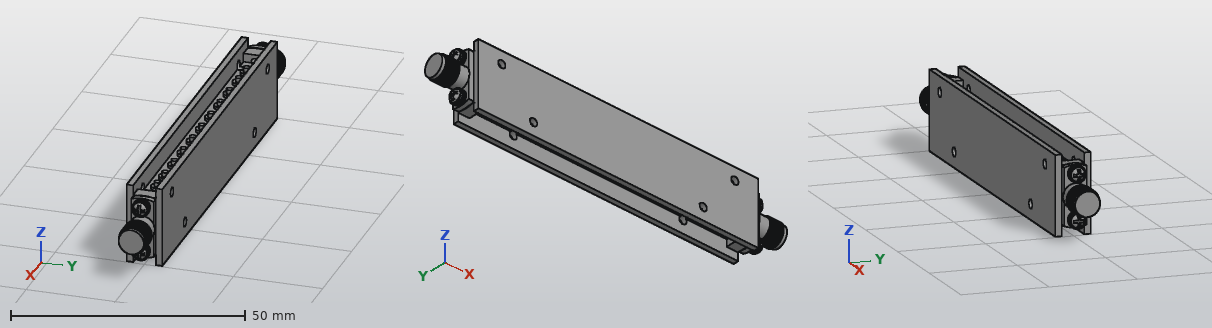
import cadquery as cq
import math

TOTAL_LENGTH = 97.8
TOTAL_WIDTH = 8.0
PLATE_HEIGHT = 18.0
PLATE_LENGTH = 79.4
PLATE_THICKNESS = 1.5
CORE_WIDTH = TOTAL_WIDTH - 2 * PLATE_THICKNESS

CORE_HEIGHT = 9.6
BLOCK_HEIGHT = 13.5
BLOCK_LENGTH = 3.2

MOUNT_HOLE_DIAMETER = 2.1
UPPER_HOLE_X = 33.1
LOWER_HOLE_X = 24.1
MOUNT_HOLE_Z = 5.5

TUNER_PITCH = 6.4
TUNERS_PER_SIDE = 4
END_TUNER_X = 30.8
TUNER_NUT_RADIUS = 1.4
TUNER_NUT_HEIGHT = 0.6
TUNER_STUD_RADIUS = 0.7
TUNER_STUD_HEIGHT = 1.6

FLANGE_RADIUS = 6.9
FLANGE_THICKNESS = 1.5

BARREL_RADIUS = 2.8
THREAD_RADIUS = 3.1
THREAD_PITCH = 0.5
THREAD_TURNS = 8
CREST_WIDTH = 0.14
THREAD_START = 1.0
BARREL_LENGTH = (TOTAL_LENGTH - PLATE_LENGTH) / 2 - FLANGE_THICKNESS

SCREW_Z = 5.1
FLAT_WASHER_RADIUS = 1.8
FLAT_WASHER_THICKNESS = 0.4
LOCK_WASHER_RADIUS = 1.9
LOCK_WASHER_THICKNESS = 0.6
HEAD_RADIUS = 1.9
HEAD_RIM_THICKNESS = 0.6
HEAD_DOME_HEIGHT = 0.9
HEAD_DOME_RADIUS = 1.6
HEAD_TOP_RADIUS = 0.7
WASHER_SEAM = 0.1
RECESS_LENGTH = 2.3
RECESS_WIDTH = 0.6
RECESS_DEPTH = 0.6
TIP_RADIUS = 0.8
TIP_END_RADIUS = 0.2
TIP_LENGTH = 0.9

PLATE_END = PLATE_LENGTH / 2
FLANGE_FACE = PLATE_END + FLANGE_THICKNESS
BLOCK_INNER_FACE = PLATE_END - BLOCK_LENGTH


def turned_on_x(profile, z=0.0):
    """Revolve a closed (x, radius) profile about the line parallel to X at height z."""
    turned = cq.Workplane("XY").polyline(profile).close().revolve(360, (0, 0, 0), (1, 0, 0))
    return turned.translate((0, 0, z))


def cover_plates():
    offset = (TOTAL_WIDTH - PLATE_THICKNESS) / 2
    plate = cq.Workplane("XY").box(PLATE_LENGTH, PLATE_THICKNESS, PLATE_HEIGHT)
    return plate.translate((0, offset, 0)).union(plate.translate((0, -offset, 0)))


def core_bar():
    core = cq.Workplane("XY").box(PLATE_LENGTH, CORE_WIDTH, CORE_HEIGHT)
    block = cq.Workplane("XY").box(BLOCK_LENGTH, CORE_WIDTH, BLOCK_HEIGHT)
    block_x = PLATE_END - BLOCK_LENGTH / 2
    for side in (-1, 1):
        core = core.union(block.translate((side * block_x, 0, 0)))
    return core


def mounting_holes():
    points = []
    for side in (-1, 1):
        points.append((side * UPPER_HOLE_X, MOUNT_HOLE_Z))
        points.append((side * LOWER_HOLE_X, -MOUNT_HOLE_Z))
    holes = cq.Workplane("XZ").pushPoints(points).circle(MOUNT_HOLE_DIAMETER / 2)
    return holes.extrude(TOTAL_WIDTH, both=True)


def tuning_screws():
    stations = [i * TUNER_PITCH for i in range(-TUNERS_PER_SIDE, TUNERS_PER_SIDE + 1)]
    points = [(x, 0) for x in [-END_TUNER_X] + stations + [END_TUNER_X]]
    top = cq.Workplane("XY", origin=(0, 0, CORE_HEIGHT / 2)).pushPoints(points)
    nuts = top.circle(TUNER_NUT_RADIUS).extrude(TUNER_NUT_HEIGHT)
    studs = top.circle(TUNER_STUD_RADIUS).extrude(TUNER_STUD_HEIGHT)
    return nuts.union(studs)


def flange():
    disc = cq.Workplane("YZ", origin=(PLATE_END, 0, 0)).circle(FLANGE_RADIUS).extrude(FLANGE_THICKNESS)
    strip = cq.Workplane("XY").box(TOTAL_LENGTH * 2, CORE_WIDTH, PLATE_HEIGHT)
    return disc.intersect(strip)


def barrel():
    tip = FLANGE_FACE + BARREL_LENGTH
    thread_end = tip - THREAD_START
    profile = [(FLANGE_FACE, 0), (tip, 0), (tip, BARREL_RADIUS), (thread_end, BARREL_RADIUS)]
    for turn in range(THREAD_TURNS):
        crest = thread_end - (turn + 0.5) * THREAD_PITCH
        profile.append((crest + CREST_WIDTH / 2, THREAD_RADIUS))
        profile.append((crest - CREST_WIDTH / 2, THREAD_RADIUS))
        profile.append((crest - THREAD_PITCH / 2, BARREL_RADIUS))
    profile.append((FLANGE_FACE, BARREL_RADIUS))
    return turned_on_x(profile)


def flange_screw(z):
    flat_top = FLANGE_FACE + FLAT_WASHER_THICKNESS
    lock_top = flat_top + LOCK_WASHER_THICKNESS
    rim_top = lock_top + HEAD_RIM_THICKNESS
    head_top = rim_top + HEAD_DOME_HEIGHT
    seam_radius = LOCK_WASHER_RADIUS - WASHER_SEAM
    dome_middle = (rim_top + HEAD_DOME_HEIGHT * math.sin(math.pi / 4),
                   HEAD_TOP_RADIUS + (HEAD_DOME_RADIUS - HEAD_TOP_RADIUS) * math.cos(math.pi / 4))

    head = (
        cq.Workplane("XY")
        .moveTo(FLANGE_FACE, 0)
        .lineTo(FLANGE_FACE, FLAT_WASHER_RADIUS)
        .lineTo(flat_top, FLAT_WASHER_RADIUS)
        .lineTo(flat_top, LOCK_WASHER_RADIUS)
        .lineTo(lock_top - WASHER_SEAM, LOCK_WASHER_RADIUS)
        .lineTo(lock_top, seam_radius)
        .lineTo(lock_top + WASHER_SEAM, HEAD_RADIUS)
        .lineTo(rim_top, HEAD_RADIUS)
        .lineTo(rim_top, HEAD_DOME_RADIUS)
        .threePointArc(dome_middle, (head_top, HEAD_TOP_RADIUS))
        .lineTo(head_top, 0)
        .close()
        .revolve(360, (0, 0, 0), (1, 0, 0))
        .translate((0, 0, z))
    )
    recess_start = head_top - RECESS_DEPTH
    cross = cq.Workplane("YZ", origin=(recess_start, 0, z))
    for size in ((RECESS_LENGTH, RECESS_WIDTH), (RECESS_WIDTH, RECESS_LENGTH)):
        head = head.cut(cross.rect(*size).extrude(HEAD_DOME_HEIGHT))

    tip_end = BLOCK_INNER_FACE - TIP_LENGTH
    tip = turned_on_x(
        [(BLOCK_INNER_FACE, 0), (BLOCK_INNER_FACE, TIP_RADIUS), (tip_end, TIP_END_RADIUS), (tip_end, 0)], z
    )
    return head.union(tip)


def connector():
    """Right-hand connector with its flange and both flange screws."""
    body = flange().union(barrel())
    for z in (-SCREW_Z, SCREW_Z):
        body = body.union(flange_screw(z))
    return body


right_connector = connector()
left_connector = right_connector.mirror("YZ")

housing = cover_plates().union(core_bar()).cut(mounting_holes())
result = housing.union(tuning_screws()).union(right_connector).union(left_connector)